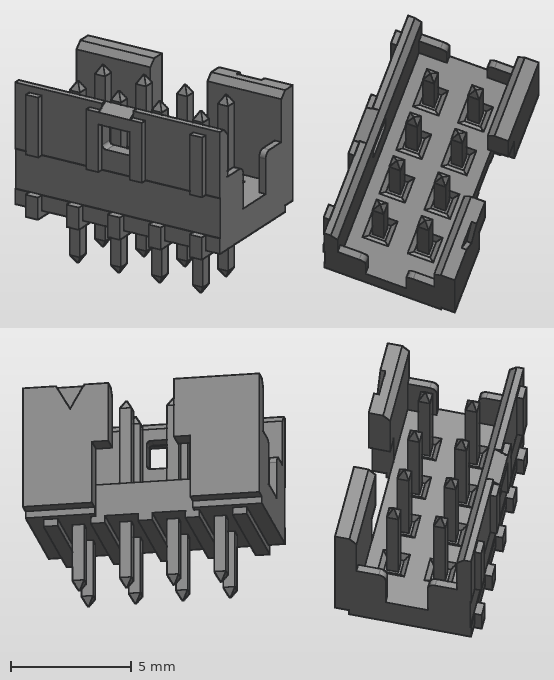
import cadquery as cq


pitch = 2.0
columns = 4
rows = 2
pin_width = 0.5
pin_top = 5.39
pin_bottom = -2.83
pin_taper = 0.38
pin_tip_width = 0.05
funnel_mouth = 1.14
funnel_throat = 0.71
funnel_depth = (funnel_mouth - funnel_throat) / 2

length = 10.0
overall_depth = 6.1
height = 5.52
floor_z = 1.38
end_wall = 0.32
shoulder_z = 3.28
inner_half = 2.14
rear_wall = 0.92
front_wall = 0.6
lead_in = 0.3
rear_y = inner_half + rear_wall
front_y = -inner_half - front_wall
rear_step_depth = 0.6
rear_step_height = 0.29
end_notch_width = 1.8
end_notch_radius = 0.3
band_depth = 0.04
band_bottom = 0.7
band_top = 2.51

gap_width = 2.78
gap_lower_width = 4.16
gap_step_z = 2.97
mark_x = 1.5 * pitch
mark_width = 1.2
mark_drop = 1.04
mark_depth = 0.22

rib_width = 0.6
foot_front_y = rear_y - overall_depth
foot_drop = 0.31
rib_setback = 0.02
rib_front_y = foot_front_y + rib_setback
rib_top = 5.22
frame_inner_width = 1.52
frame_inner_top = 4.67
window_width = 1.5
window_bottom = 3.47
window_height = 1.25
window_radius = 0.2


def box(x_range, y_range, z_range):
    """Axis-aligned block between the given (low, high) limits."""
    (x0, x1), (y0, y1), (z0, z1) = x_range, y_range, z_range
    return cq.Workplane("XY").box(x1 - x0, y1 - y0, z1 - z0, centered=False).translate((x0, y0, z0))


def centred(width, middle=0.0):
    """Limits of a span of the given width about its middle."""
    return (middle - width / 2, middle + width / 2)


def along_x(points, width):
    """Prism centred on X = 0 from a closed (Y, Z) outline."""
    return cq.Workplane("YZ").polyline(points).close().extrude(width / 2, both=True)


def frustum(z_large, size_large, z_small, size_small):
    """Square frustum on the Z axis between two levels."""
    return (
        cq.Workplane("XY", origin=(0, 0, z_large)).rect(size_large, size_large)
        .workplane(offset=z_small - z_large).rect(size_small, size_small)
        .loft(ruled=True)
    )


def make_housing():
    """Shrouded box with a pin cavity, low end walls and a notch through both ends."""
    body = along_x(
        [
            (front_y, 0),
            (rear_y - rear_step_depth, 0),
            (rear_y - rear_step_depth, rear_step_height),
            (rear_y, rear_step_height),
            (rear_y, height),
            (inner_half + lead_in, height),
            (inner_half, height - lead_in),
            (inner_half, shoulder_z),
            (-inner_half, shoulder_z),
            (-inner_half, height - lead_in),
            (-inner_half - lead_in, height),
            (front_y, height),
            (front_y, band_top),
            (front_y + band_depth, band_top),
            (front_y + band_depth, band_bottom),
            (front_y, band_bottom),
        ],
        length,
    )
    body = body.cut(box(centred(length - 2 * end_wall), centred(2 * inner_half), (floor_z, height)))

    half = end_notch_width / 2
    r = end_notch_radius
    end_notch = (
        cq.Workplane("YZ")
        .moveTo(-half, floor_z)
        .lineTo(half, floor_z)
        .lineTo(half, shoulder_z - r)
        .radiusArc((half + r, shoulder_z), r)
        .lineTo(-half - r, shoulder_z)
        .radiusArc((-half, shoulder_z - r), r)
        .close()
        .extrude(length / 2, both=True)
    )
    return body.cut(end_notch)


def make_rear_gap():
    """Key gap through the rear wall, wider in its lower part."""
    y_span = (inner_half, rear_y)
    narrow_part = box(centred(gap_width), y_span, (0, height))
    wide_part = box(centred(gap_lower_width), y_span, (0, gap_step_z))
    return narrow_part.union(wide_part)


def make_pin_one_mark():
    """Triangular recess in the rear face, pointing down."""
    return (
        cq.Workplane("XZ", origin=(mark_x, rear_y, 0))
        .polyline([(-mark_width / 2, height), (mark_width / 2, height), (0, height - mark_drop)])
        .close()
        .extrude(mark_depth)
    )


def make_latch_frame():
    """Inverted U of ribs on the front wall."""
    outer_width = frame_inner_width + 2 * rib_width
    frame = box(centred(outer_width), (rib_front_y, front_y + band_depth), (band_top, rib_top))
    opening = box(centred(frame_inner_width), (rib_front_y, front_y), (band_top, frame_inner_top))
    return frame.cut(opening)


def make_window():
    """Rounded latch window through the front wall."""
    return (
        cq.Workplane("XZ", origin=(0, -inner_half, window_bottom + window_height / 2))
        .rect(window_width, window_height)
        .extrude(front_wall)
        .edges("|Y")
        .fillet(window_radius)
    )


result = make_housing().cut(make_rear_gap()).cut(make_pin_one_mark())

ramp_start_y = -inner_half - lead_in
ramp = along_x([(ramp_start_y, height), (ramp_start_y, rib_top), (rib_front_y, rib_top)], frame_inner_width)
ramp_space = box(centred(frame_inner_width), (rib_front_y, ramp_start_y), (rib_top, height))
result = result.union(make_latch_frame()).cut(ramp_space).union(ramp).cut(make_window())

for side in (-1, 1):
    x_span = centred(rib_width, side * 2 * pitch)
    result = result.union(box(x_span, (rib_front_y, front_y + band_depth), (band_top, rib_top)))

for i in range(columns + 1):
    x_span = centred(rib_width, (i - columns / 2) * pitch)
    result = result.union(box(x_span, (foot_front_y, inner_half), (-foot_drop, 0)))
    result = result.union(box(x_span, (foot_front_y, front_y), (-foot_drop, band_bottom)))

pin_span = (pin_bottom + pin_taper, pin_top - pin_taper)
pin = (
    box(centred(pin_width), centred(pin_width), pin_span)
    .union(frustum(pin_span[1], pin_width, pin_top, pin_tip_width))
    .union(frustum(pin_span[0], pin_width, pin_bottom, pin_tip_width))
)
funnel = frustum(floor_z, funnel_mouth, floor_z - funnel_depth, funnel_throat)
for column in range(columns):
    for row in range(rows):
        place = ((column - (columns - 1) / 2) * pitch, (row - (rows - 1) / 2) * pitch, 0)
        result = result.cut(funnel.translate(place)).union(pin.translate(place))